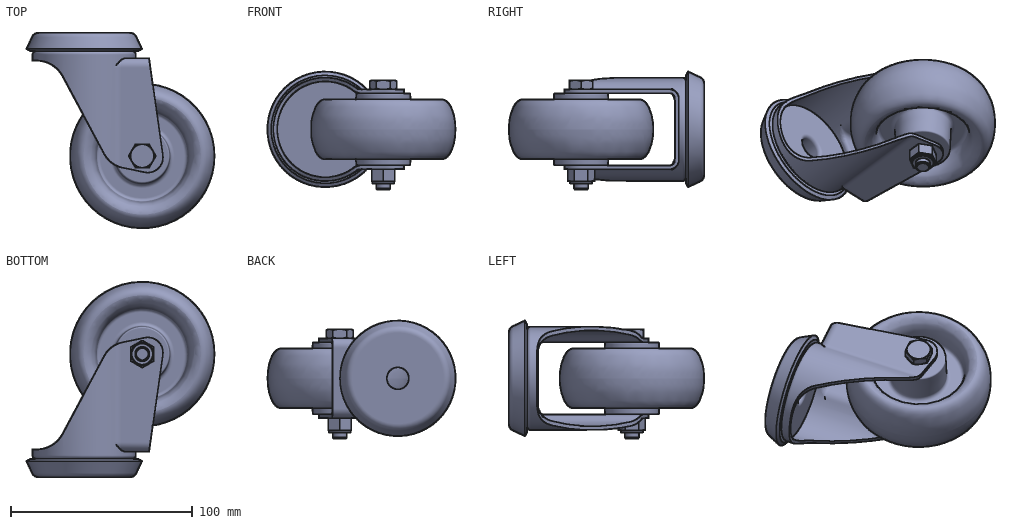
import cadquery as cq
import math


wheel_x = 32.1
wheel_y = -68.0
wheel_radius = 40.0

head_radius = 32.0
head_face_radius = 27.8
head_base_radius = 29.8
head_rim_y = -9.0
head_base_y = -10.2
head_edge_round = 3.9
mount_bore_radius = 6.0
mount_bore_round = 2.2

sheet = 2.2
collar_radius = 28.6
collar_round = 1.9
recess_y = head_base_y - sheet
arm_outer_z = 22.0
arm_inner_z = arm_outer_z - sheet
channel_y = -14.0
bend_outer_radius = 5.1
bend_inner_radius = bend_outer_radius - sheet
blend_end_x = 20.3
recess_mouth_round = 2.2

fork_reach = 54.0

lip_corner = (-16.5, -15.4)
lip_round = 16.2
heel_corner = (14.4, -73.1)
heel_round = 14.9
toe_corner = (45.1, -79.5)
toe_round = 8.4
outline_top_x = 35.3

tread_half_width = 16.5
tread_lip_radius = 32.4
rim_radius = 25.2
rim_round = 1.9
web_half_width = 2.2
hub_end_radius = 15.0
hub_root_radius = 15.5
hub_root_round = 2.2
hub_edge_round = 0.8

axle_radius = 4.0
hex_across_flats = 13.0
bolt_head_height = 5.1
bolt_end_z = -33.3
bolt_end_chamfer = 0.6
nut_hex_height = 6.6
nut_height = 8.0
nut_collar_radius = 6.2
nut_collar_chamfer = 0.3
hex_chamfer_angle = math.radians(30)
hex_flat_radius = hex_across_flats / 2
hex_corner_radius = hex_flat_radius / math.cos(math.pi / 6)


def at_wheel(body):
    """Moves a body built around the Z axis onto the wheel axis."""
    return body.translate((wheel_x, wheel_y, 0))


def z_cylinder(radius, z_low, z_high):
    return cq.Workplane("XY").workplane(offset=z_low).circle(radius).extrude(z_high - z_low)


def y_cylinder(radius, y_high, y_low):
    """Cylinder around the swivel axis."""
    return cq.Workplane("XZ", origin=(0, y_high, 0)).circle(radius).extrude(y_high - y_low)


def make_head():
    profile = [
        (0, 0),
        (head_face_radius, 0),
        (head_radius, head_rim_y),
        (head_base_radius, head_base_y),
        (0, head_base_y),
    ]
    head = cq.Workplane("XY").polyline(profile).close().revolve(360, (0, 0, 0), (0, 1, 0))
    return head.faces(">Y").edges().fillet(head_edge_round)


def make_channel(inset, top_y, bend_radius):
    """U-shaped channel behind the collar, shrunk on all sides by the inset.

    Its flanks flare out in arcs that run tangent to the collar.
    """
    half_width = arm_outer_z - inset
    radius = collar_radius - inset
    blend = (blend_end_x**2 + half_width**2 - radius**2) / (2 * (radius - half_width))
    centre_z = half_width + blend
    to_collar = radius / (radius + blend)
    start = (blend_end_x * to_collar, centre_z * to_collar)
    turn_half = math.atan2(blend_end_x, centre_z) / 2
    middle = (blend_end_x - blend * math.sin(turn_half), centre_z - blend * math.cos(turn_half))
    channel = (
        cq.Workplane("XZ", origin=(0, top_y, 0))
        .lineTo(*start)
        .threePointArc(middle, (blend_end_x, half_width))
        .lineTo(fork_reach, half_width)
        .lineTo(fork_reach, -half_width)
        .lineTo(blend_end_x, -half_width)
        .threePointArc((middle[0], -middle[1]), (start[0], -start[1]))
        .close()
        .extrude(top_y + 2 * fork_reach)
    )
    bend_edges = channel.newObject([])
    for side in (1, -1):
        for x, z in ((fork_reach / 2, half_width), middle):
            nearest = cq.NearestToPointSelector((x, top_y, side * z))
            bend_edges = bend_edges.add(channel.edges(nearest))
    return bend_edges.fillet(bend_radius)


def make_side_outline():
    """Block that trims the fork to its outline as seen along the wheel axis."""
    block = (
        cq.Workplane("XY")
        .moveTo(-fork_reach, head_base_y)
        .lineTo(outline_top_x, head_base_y)
        .lineTo(*toe_corner)
        .lineTo(*heel_corner)
        .lineTo(*lip_corner)
        .lineTo(-fork_reach, lip_corner[1])
        .close()
        .extrude(fork_reach, both=True)
    )
    for corner, radius in ((lip_corner, lip_round), (heel_corner, heel_round), (toe_corner, toe_round)):
        block = block.edges(cq.NearestToPointSelector((*corner, 0))).fillet(radius)
    return block


def make_fork():
    lowest_y = -2 * fork_reach
    collar = y_cylinder(collar_radius, head_base_y, lowest_y).faces(">Y").edges().fillet(collar_round)
    outside = collar.union(make_channel(0, channel_y, bend_outer_radius))
    recess = y_cylinder(collar_radius - sheet, recess_y, lowest_y)
    inside = recess.union(make_channel(sheet, channel_y - sheet, bend_inner_radius))
    mouth_y = channel_y - sheet
    mouth_box = cq.selectors.BoxSelector(
        (blend_end_x, mouth_y - sheet / 2, -blend_end_x),
        (collar_radius, mouth_y + sheet / 2, blend_end_x),
    )
    inside = inside.edges(mouth_box).edges("%CIRCLE").fillet(recess_mouth_round)
    fork = outside.cut(inside).intersect(make_side_outline())
    fork = fork.union(make_head()).cut(y_cylinder(mount_bore_radius, 0, recess_y))
    bore_box = cq.selectors.BoxSelector(
        (-collar_radius / 2, recess_y - sheet / 2, -collar_radius / 2),
        (collar_radius / 2, recess_y + sheet / 2, collar_radius / 2),
        boundingbox=True,
    )
    fork = fork.edges(bore_box).fillet(mount_bore_round)
    return fork.cut(at_wheel(z_cylinder(axle_radius, -fork_reach, fork_reach)))


def quarter_arc_middle(centre, radius_x, radius_z):
    """Middle of a quarter arc; the signs of the radii pick the quadrant."""
    half = math.sqrt(0.5)
    return (centre[0] + radius_x * half, centre[1] + radius_z * half)


def make_wheel():
    hub_half_width = arm_inner_z
    rim_z = web_half_width + rim_round
    root_tangent_radius = hub_root_radius + hub_root_round
    root_z = web_half_width + hub_root_round
    hub_edge_inner = (hub_end_radius - hub_edge_round, hub_half_width)
    hub_edge_outer = (hub_end_radius, hub_half_width - hub_edge_round)
    rim_arc_centre = (rim_radius - rim_round, rim_z)
    root_arc_centre = (root_tangent_radius, root_z)
    edge_arc_centre = (hub_edge_inner[0], hub_edge_outer[1])
    half_wheel = (
        cq.Workplane("XZ")
        .moveTo(axle_radius, 0)
        .lineTo(wheel_radius, 0)
        .ellipseArc(
            wheel_radius - tread_lip_radius, tread_half_width, 0, 90, startAtCurrent=True
        )
        .ellipseArc(
            tread_lip_radius - rim_radius, tread_half_width - rim_z, 90, 180, startAtCurrent=True
        )
        .threePointArc(
            quarter_arc_middle(rim_arc_centre, rim_round, -rim_round),
            (rim_radius - rim_round, web_half_width),
        )
        .lineTo(root_tangent_radius, web_half_width)
        .threePointArc(
            quarter_arc_middle(root_arc_centre, -hub_root_round, -hub_root_round),
            (hub_root_radius, root_z),
        )
        .lineTo(*hub_edge_outer)
        .threePointArc(
            quarter_arc_middle(edge_arc_centre, hub_edge_round, hub_edge_round), hub_edge_inner
        )
        .lineTo(axle_radius, hub_half_width)
        .close()
        .revolve(360, (0, 0, 0), (0, 1, 0))
    )
    return at_wheel(half_wheel.union(half_wheel.mirror("XY")))


def make_hexagon(z_low, height):
    """Hexagonal prism with two of its corners on the X axis."""
    return cq.Workplane("XY").workplane(offset=z_low).polygon(6, 2 * hex_corner_radius).extrude(height)


def make_bolt():
    chamfer_width = hex_corner_radius - hex_flat_radius
    turned_blank = (
        z_cylinder(hex_corner_radius, arm_outer_z, arm_outer_z + bolt_head_height)
        .edges("%CIRCLE")
        .chamfer(chamfer_width * math.tan(hex_chamfer_angle), chamfer_width)
    )
    head = make_hexagon(arm_outer_z, bolt_head_height).intersect(turned_blank)
    shank = z_cylinder(axle_radius, bolt_end_z, arm_outer_z).faces("<Z").chamfer(bolt_end_chamfer)
    return at_wheel(head.union(shank))


def make_nut():
    nut_end_z = -arm_outer_z - nut_height
    hexagon = make_hexagon(-arm_outer_z - nut_hex_height, nut_hex_height)
    hexagon = hexagon.rotate((0, 0, 0), (0, 0, 1), 90)
    collar = z_cylinder(nut_collar_radius, nut_end_z, -arm_outer_z).faces("<Z").chamfer(nut_collar_chamfer)
    bore = z_cylinder(axle_radius, nut_end_z, -arm_outer_z)
    return at_wheel(hexagon.union(collar).cut(bore))


fork = make_fork()
wheel = make_wheel()
bolt = make_bolt()
nut = make_nut()
result = cq.Compound.makeCompound([fork.val(), wheel.val(), bolt.val(), nut.val()])